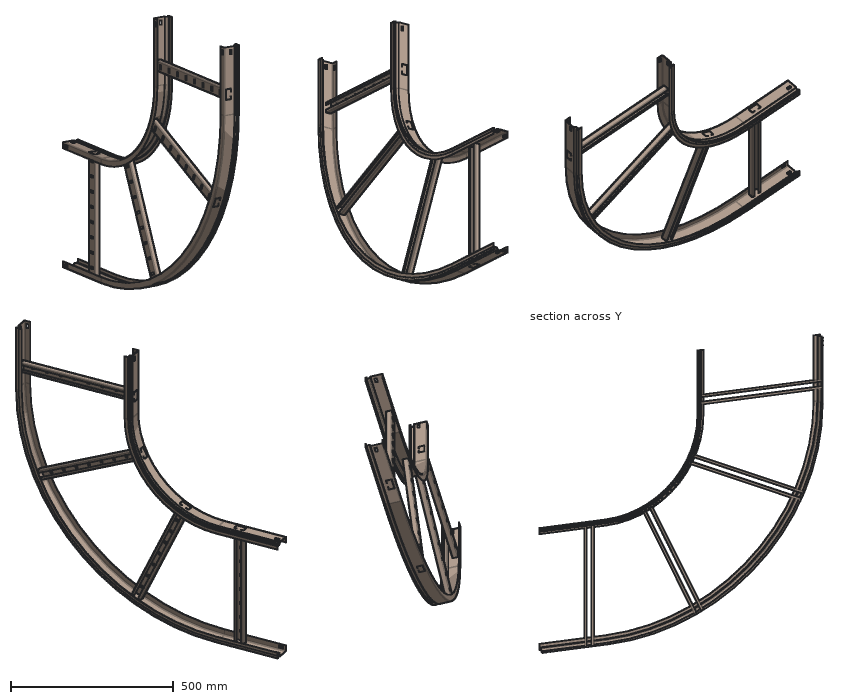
import cadquery as cq
import math


overall_length = 917.0
leg_length = 216.0
outer_radius = overall_length - leg_length
ladder_width = 401.0
inner_radius = outer_radius - ladder_width
bend_angle = 90.0

rail_height = 55.0
rail_flange = 20.0
rail_sheet = 1.5
rail_bend = 3.0
groove_start = 40.0
groove_depth = 7.0
lip_thickness = 4.0
groove_end = rail_height - lip_thickness
groove_round = 5.0

coupling_slot_length = 14.0
coupling_slot_width = 6.9
coupling_slot_from_end = 17.0
web_slot_height = 26.0
flange_slot_depth = 10.0

rung_width = 35.0
rung_front = 7.0
rung_depth = 19.0
rung_back = rung_front + rung_depth
rung_sheet = 1.5
rung_bend = 3.0
rung_lip = 10.0
rung_start = inner_radius + rail_sheet
rung_end = outer_radius - rail_sheet
leg_rung_offset = 65.0
curved_rung_angles = (25.0, 65.0)

rung_slot_count = 8
rung_slot_length = 14.0
rung_slot_width = 6.9
rung_slot_first = 326.0
rung_slot_pitch = 49.0


def turn(body, angle):
    """Turn a body about the bend axis, from +X towards -Z."""
    return body.rotate((0, 0, 0), (0, 1, 0), angle)


def rail_section(back_radius, side):
    """Closed rail outline; side is +1 or -1, the way the flanges point from the back of the web."""

    def at(depth, height):
        return (back_radius + side * depth, height)

    def front_bend(radius, angle):
        """Point on a bend between front flange (90 degrees) and web (0 degrees)."""
        return at(
            rail_bend - radius * math.cos(math.radians(angle)),
            rail_bend - radius * math.sin(math.radians(angle)),
        )

    def groove_bend(radius, angle):
        """Point on a bend between groove wall (90 degrees) and groove floor (0 degrees)."""
        return at(
            groove_depth - groove_round + radius * math.cos(math.radians(angle)),
            groove_start + groove_round - radius * math.sin(math.radians(angle)),
        )

    inside_bend = rail_bend - rail_sheet
    groove_inside_round = groove_round + rail_sheet
    return (
        cq.Workplane("XY")
        .moveTo(*at(rail_flange, 0))
        .lineTo(*front_bend(rail_bend, 90))
        .threePointArc(front_bend(rail_bend, 45), front_bend(rail_bend, 0))
        .lineTo(*at(0, groove_start))
        .lineTo(*groove_bend(groove_round, 90))
        .threePointArc(groove_bend(groove_round, 45), groove_bend(groove_round, 0))
        .lineTo(*at(groove_depth, groove_end))
        .lineTo(*at(0, groove_end))
        .lineTo(*at(0, rail_height))
        .lineTo(*at(rail_flange, rail_height))
        .lineTo(*at(rail_flange, rail_height - rail_sheet))
        .lineTo(*at(groove_depth + rail_sheet, rail_height - rail_sheet))
        .lineTo(*groove_bend(groove_inside_round, 0))
        .threePointArc(groove_bend(groove_inside_round, 45), groove_bend(groove_inside_round, 90))
        .lineTo(*at(rail_sheet, groove_start - rail_sheet))
        .lineTo(*front_bend(inside_bend, 0))
        .threePointArc(front_bend(inside_bend, 45), front_bend(inside_bend, 90))
        .lineTo(*at(rail_flange, rail_sheet))
        .close()
    )


def coupling_slots(back_radius, side):
    """Cutters for the web slot and the front flange slot of an upright leg."""
    slot_z = leg_length - coupling_slot_from_end
    web_slot = cq.Workplane("XY").box(2 * rail_flange, coupling_slot_width, coupling_slot_length)
    flange_slot = cq.Workplane("XY").box(coupling_slot_width, 2 * rail_bend, coupling_slot_length)
    return (
        web_slot.translate((back_radius, web_slot_height, slot_z))
        .union(flange_slot.translate((back_radius + side * flange_slot_depth, 0, slot_z)))
    )


def make_rail(back_radius, side):
    """One side rail: an upright leg, a quarter bend and a level leg."""
    upright_leg = (
        rail_section(back_radius, side)
        .extrude(leg_length)
        .cut(coupling_slots(back_radius, side))
    )
    level_leg = turn(upright_leg.mirror("XY"), bend_angle)
    bend = rail_section(back_radius, side).revolve(bend_angle, (0, 0, 0), (0, 1, 0))
    return bend.union(upright_leg, clean=False).union(level_leg, clean=False)


def make_rung():
    """A rung along +X from the inner rail to the outer rail, centred on Z = 0."""
    length = rung_end - rung_start
    middle_height = (rung_front + rung_back) / 2
    channel = (
        cq.Workplane("XY")
        .box(length, rung_depth, rung_width)
        .edges("|X")
        .fillet(rung_bend)
    )
    hollow = (
        cq.Workplane("XY")
        .box(length, rung_depth - 2 * rung_sheet, rung_width - 2 * rung_sheet)
        .edges("|X")
        .fillet(rung_bend - rung_sheet)
    )
    opening = (
        cq.Workplane("XY")
        .box(length, rung_depth, rung_width - 2 * rung_lip)
        .translate((0, rung_depth / 2, 0))
    )
    rung = channel.cut(hollow).cut(opening)
    rung = rung.translate(((rung_start + rung_end) / 2, middle_height, 0))
    for index in range(rung_slot_count):
        slot = cq.Workplane("XY").box(rung_slot_width, 2 * rung_bend, rung_slot_length)
        rung = rung.cut(slot.translate((rung_slot_first + index * rung_slot_pitch, rung_front, 0)))
    return rung


def make_curved_rung(angle):
    """A radial rung in the bend, its outer end trimmed to the inside of the outer rail."""
    reach = cq.Workplane("XZ").circle(rung_end).extrude(-rail_height)
    return turn(make_rung().intersect(reach), angle)


inner_rail = make_rail(inner_radius, 1)
outer_rail = make_rail(outer_radius, -1)

upright_leg_rung = make_rung().translate((0, 0, leg_rung_offset))
level_leg_rung = turn(make_rung().translate((0, 0, -leg_rung_offset)), bend_angle)
curved_rungs = [make_curved_rung(angle) for angle in curved_rung_angles]
rungs = [upright_leg_rung, *curved_rungs, level_leg_rung]

result = cq.Compound.makeCompound(
    [inner_rail.val(), outer_rail.val(), *[rung.val() for rung in rungs]]
)